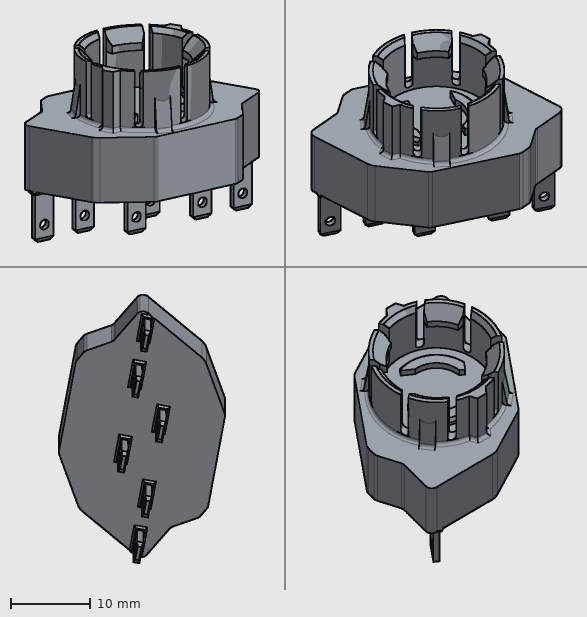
import cadquery as cq
import math

body_half_width = 12.5
body_height = 8.75
ear_side_x = 10.6
nose_start_y = -1.85
nose_end_y = -3.58
ear_slant_x = -0.2
corner_radius = 1.0
ear_slant_radius = 2.0
steep_slope = math.tan(math.radians(60))
shallow_slope = math.tan(math.radians(30))

collar_height = 8.0
collar_radius = 8.58
bore_radius = 14.7 / 2
bore_chamfer = 0.68
foot_radius = 0.5
key_tip_y = 9.42
key_tip_half_width = 0.72
key_root_half_width = 1.3
key_root_y = 8.45

tab_width = 5.0
slot_width = 1.0
slot_bottom = 0.5
hook_radius = 6.35
hook_lip_height = 1.0
hook_side_angle = 30.0
rib_width = 2.05
rib_height = 3.95
rib_root_reach = 9.15
diagonal_angles = (45, 135, 225, 315)

stop_inner_radius = 4.0
stop_outer_radius = 5.72
stop_height = 1.0
stop_chamfer_width = 0.35
stop_chamfer_height = 0.5
stop_long_end_u = 3.3
stop_short_end_u = 2.4
stop_side_v = 3.98
stop_nose_v = 4.12

row_angle = 60.0
row_offset = 2.0
pin_places = (-13.6, -7.55, 2.35)
pin_width = 2.75
pin_thickness = 0.8
pin_drop = 7.0
pin_tip_height = 0.5
pin_tip_width_inset = 0.5
pin_tip_thickness_inset = 0.18
pin_hole_diameter = 1.3
pin_hole_above_tip = 2.22
pad_height = 0.5
pad_top_margin = 0.45
pad_bottom_margin = 0.2

collar_top = body_height + collar_height
wall_middle_radius = (bore_radius + collar_radius) / 2
select_margin = 0.25


def body_corners():
    """Sharp corners of the body outline in order, each with its rounding radius."""
    ear_inner_y = nose_end_y - (body_half_width - ear_side_x) * steep_slope
    steep_intercept = nose_start_y + body_half_width * steep_slope
    shallow_intercept = body_half_width + ear_slant_x * shallow_slope
    shoulder_x = (shallow_intercept - steep_intercept) / (steep_slope - shallow_slope)
    shoulder_y = steep_slope * shoulder_x + steep_intercept
    half = [
        (shoulder_x, shoulder_y, corner_radius),
        (-body_half_width, nose_start_y, corner_radius),
        (-body_half_width, nose_end_y, corner_radius),
        (-ear_side_x, ear_inner_y, corner_radius),
        (-ear_side_x, -body_half_width, corner_radius),
        (ear_slant_x, -body_half_width, ear_slant_radius),
    ]
    return half + [(-x, -y, radius) for x, y, radius in half]


def make_body(z_bottom, height):
    """Slab with the body outline, rounded at every corner."""
    corners = body_corners()
    slab = (
        cq.Workplane("XY", origin=(0, 0, z_bottom))
        .polyline([(x, y) for x, y, _ in corners])
        .close()
        .extrude(height)
    )
    for x, y, radius in corners:
        corner = cq.selectors.NearestToPointSelector((x, y, z_bottom + height / 2))
        slab = slab.edges("|Z").edges(corner).fillet(radius)
    return slab


def turn(shape, angle):
    return shape.rotate((0, 0, 0), (0, 0, 1), angle)


def cylinder(radius, z_bottom, height):
    return cq.Workplane("XY", origin=(0, 0, z_bottom)).circle(radius).extrude(height)


def make_key(side):
    """Tapered key on the +Y or -Y side of the collar; side is 1 or -1."""
    return (
        cq.Workplane("XY", origin=(0, 0, body_height))
        .moveTo(-key_root_half_width, 0)
        .lineTo(-key_root_half_width, side * key_root_y)
        .lineTo(-key_tip_half_width, side * key_tip_y)
        .lineTo(key_tip_half_width, side * key_tip_y)
        .lineTo(key_root_half_width, side * key_root_y)
        .lineTo(key_root_half_width, 0)
        .close()
        .extrude(collar_height)
    )


def make_hook(angle):
    """Sector of a ring inside one spring tab; the entry cone later slopes its top."""
    top_depth = bore_radius + bore_chamfer - hook_radius
    height = top_depth + hook_lip_height
    bore_reach = math.sqrt(bore_radius**2 - (tab_width / 2) ** 2)
    side_slope = math.tan(math.radians(hook_side_angle))
    apex_reach = bore_reach - tab_width / 2 / side_slope
    far_half_width = (collar_radius - apex_reach) * side_slope
    wedge = (
        cq.Workplane("XY", origin=(0, 0, collar_top - height))
        .moveTo(apex_reach, 0)
        .lineTo(collar_radius, -far_half_width)
        .lineTo(collar_radius, far_half_width)
        .close()
        .extrude(height)
    )
    ring = cylinder(wall_middle_radius, collar_top - height, height)
    ring = ring.cut(cylinder(hook_radius, collar_top - height, height))
    return turn(ring.intersect(wedge), angle)


def make_entry_cone():
    """45 degree cone that chamfers the bore and slopes the hooks."""
    top_radius = bore_radius + bore_chamfer
    depth = top_radius - hook_radius
    cone = cq.Solid.makeCone(hook_radius, top_radius, depth, cq.Vector(0, 0, collar_top - depth))
    return cq.Workplane(cone)


def make_slots(angle):
    """Two parallel slots with round bottoms, one on each side of the tabs at this angle."""
    offset = (tab_width + slot_width) / 2
    lanes = [(0, -offset), (0, offset)]
    length = 3 * collar_radius
    round_z = body_height + slot_bottom + slot_width / 2
    slots = (
        cq.Workplane("XY", origin=(0, 0, round_z))
        .pushPoints(lanes)
        .rect(length, slot_width)
        .extrude(collar_height)
    )
    rounds = (
        cq.Workplane("YZ", origin=(-length / 2, 0, round_z))
        .pushPoints([(y, x) for x, y in lanes])
        .circle(slot_width / 2)
        .extrude(length)
    )
    slots = slots.union(rounds)
    return turn(slots, angle)


def make_rib(angle):
    """Tapered outer rib of one spring tab, with a concave foot."""
    lean = (rib_root_reach - collar_radius) / rib_height
    foot_reach = rib_root_reach - lean * foot_radius
    buried_reach = (collar_radius + wall_middle_radius) / 2
    buried_height = (rib_root_reach - buried_reach) / lean
    rib = (
        cq.Workplane("XZ", origin=(0, 0, body_height))
        .moveTo(wall_middle_radius, 0)
        .lineTo(foot_reach + foot_radius, 0)
        .radiusArc((foot_reach, foot_radius), foot_radius)
        .lineTo(buried_reach, buried_height)
        .lineTo(wall_middle_radius, buried_height)
        .close()
        .extrude(rib_width / 2, both=True)
    )
    return turn(rib, angle)


def is_at_collar_foot(edge):
    center = edge.Center()
    return math.hypot(center.x, center.y) < key_tip_y + select_margin


def make_collar():
    """Body and slotted collar; the foot fillet follows the collar and its keys."""
    collar = cylinder(collar_radius, body_height, collar_height)
    for side in (-1, 1):
        collar = collar.union(make_key(side))
    part = make_body(0, body_height).union(collar)
    top_plane = cq.selectors.BoxSelector(
        (-body_half_width, -body_half_width, body_height - select_margin),
        (body_half_width, body_half_width, body_height + select_margin),
    )
    part = part.edges(top_plane).filter(is_at_collar_foot).fillet(foot_radius)
    part = part.cut(cylinder(bore_radius, body_height, collar_height))
    for angle in diagonal_angles:
        part = part.union(make_hook(angle))
    part = part.cut(make_entry_cone())
    for angle in diagonal_angles[:2]:
        part = part.cut(make_slots(angle))
    for angle in diagonal_angles:
        part = part.union(make_rib(angle))
    return part


def make_stop():
    """Curved stop with an outer chamfer, built with u along X and v along -Y."""
    ring = cylinder(stop_outer_radius, body_height, stop_height)
    ring = ring.faces(">Z").chamfer(stop_chamfer_height, stop_chamfer_width)
    ring = ring.cut(cylinder(stop_inner_radius, body_height, stop_height))
    window = (
        cq.Workplane("XY", origin=(0, 0, body_height))
        .moveTo(stop_long_end_u, stop_nose_v)
        .lineTo(stop_long_end_u, 0)
        .lineTo(stop_short_end_u, 0)
        .lineTo(stop_short_end_u, -stop_side_v)
        .lineTo(stop_outer_radius, -stop_side_v)
        .lineTo(stop_outer_radius, stop_nose_v)
        .close()
        .extrude(stop_height)
    )
    return ring.intersect(window)


def make_frustum(z_large, height, large, small):
    """Block that narrows downwards from a large rectangle to a small one."""
    return (
        cq.Workplane("XY", origin=(0, 0, z_large))
        .rect(*large)
        .workplane(offset=-height)
        .rect(*small)
        .loft(ruled=True)
    )


def make_pad():
    """Flared base of one pin on the underside of the body."""
    large = (pin_width + 2 * pad_top_margin, pin_thickness + 2 * pad_top_margin)
    small = (pin_width + 2 * pad_bottom_margin, pin_thickness + 2 * pad_bottom_margin)
    return make_frustum(0, pad_height, large, small)


def make_pin():
    """Blade with its width along X, a bevelled tip and a cross hole."""
    shank_height = pin_drop - pin_tip_height
    section = (pin_width, pin_thickness)
    tip = (pin_width - 2 * pin_tip_width_inset, pin_thickness - 2 * pin_tip_thickness_inset)
    pin = cq.Workplane("XY").rect(*section).extrude(-shank_height)
    pin = pin.union(make_frustum(-shank_height, pin_tip_height, section, tip))
    hole = (
        cq.Workplane("XZ", origin=(0, pin_thickness, pin_hole_above_tip - pin_drop))
        .circle(pin_hole_diameter / 2)
        .extrude(2 * pin_thickness)
    )
    return pin.cut(hole)


result = make_collar()
pad_limit = make_body(-pad_height, pad_height)
for half_turn in (0, 180):
    heading = row_angle + half_turn
    result = result.union(turn(make_stop(), heading))
    for place in pin_places:
        spot = (place, row_offset, 0)
        pad = turn(make_pad().translate(spot), heading)
        result = result.union(pad.intersect(pad_limit))
        result = result.union(turn(make_pin().translate(spot), heading))